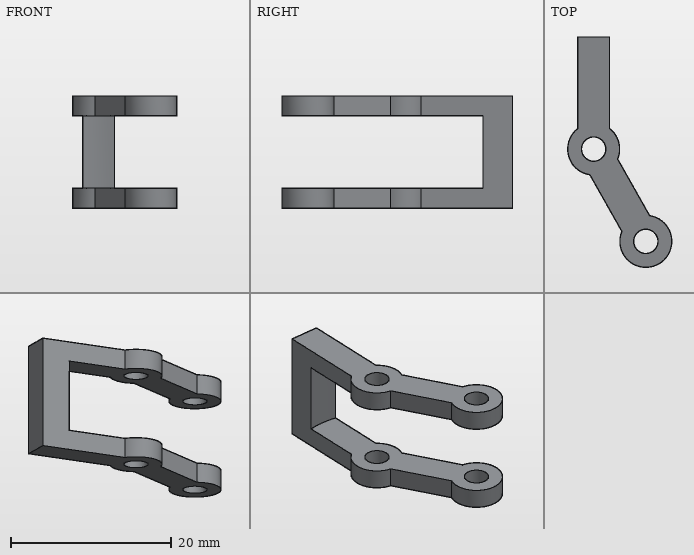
import cadquery as cq
import math

overall_height = 14.0
fork_height = 2.5

bar_width = 4.0
stem_length = 14.0
pivot_outer_radius = 3.25
pivot_hole_diameter = 3.0
far_pivot_x = 6.5
far_pivot_y = -11.5
arm_length = math.hypot(far_pivot_x, far_pivot_y)
arm_angle = math.degrees(math.atan2(far_pivot_y, far_pivot_x))

clearance_radius = 10.5

pivots = [(0, 0), (far_pivot_x, far_pivot_y)]


def stem(height):
    """Straight bar from the near pivot to the back end of the bracket."""
    return cq.Workplane("XY").center(0, stem_length / 2).rect(bar_width, stem_length).extrude(height)


def arm(height):
    """Straight bar joining the two pivots."""
    bar = cq.Workplane("XY").center(arm_length / 2, 0).rect(arm_length, bar_width).extrude(height)
    return bar.rotate((0, 0, 0), (0, 0, 1), arm_angle)


def pivot_bosses(height):
    """Round eyes around both pivots."""
    return cq.Workplane("XY").pushPoints(pivots).circle(pivot_outer_radius).extrude(height)


def pivot_holes(height):
    """Through holes for the two pivot pins."""
    return cq.Workplane("XY").pushPoints(pivots).circle(pivot_hole_diameter / 2).extrude(height)


def fork(base_z):
    """One cranked fork plate with its bottom face at base_z."""
    plate = stem(fork_height).union(arm(fork_height)).union(pivot_bosses(fork_height))
    return plate.cut(pivot_holes(fork_height)).translate((0, 0, base_z))


def web():
    """Upright at the back end, with a concave cylindrical inner face."""
    clearance = cq.Workplane("XY").circle(clearance_radius).extrude(overall_height)
    return stem(overall_height).cut(clearance)


lower_fork = fork(0)
upper_fork = fork(overall_height - fork_height)
result = lower_fork.union(web()).union(upper_fork)